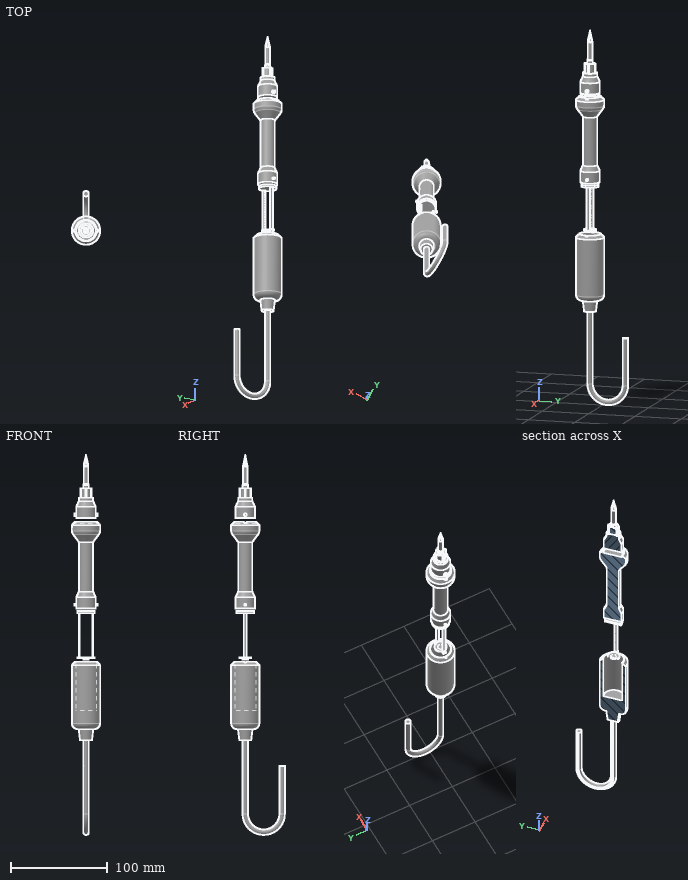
import cadquery as cq


NEEDLE_TOP = 393.3
HUB_COLLAR_TOP = 363.0
HUB_TOP = 358.5
CONNECTOR_TOP = 349.0
CONNECTOR_BOTTOM = 327.5
BARREL_TOP = 324.0
BARREL_BOTTOM = 234.0
CAGE_TOP = 231.5
CAGE_BOTTOM = 181.5
HOUSING_TOP = 179.5
HOUSING_BASE = 109.5
NECK_BOTTOM = 98.0

NEEDLE_DIAMETER = 5.0
POINT_LENGTH = 12.5
FACET_COUNT = 6

HUB_DIAMETER = 10.2
HUB_COLLAR_DIAMETER = 6.0
HUB_COLLAR_TAPER_LENGTH = 1.0
RIB_SPAN = 12.0
RIB_WIDTH = 1.0
RIB_COUNT = 4

TUBE_DIAMETER = 15.0
PLUG_DIAMETER = 20.5
PLUG_LENGTH = 11.8
PLUG_TAPER_LENGTH = 6.0
PIN_SPAN = 24.8
CONNECTOR_PIN_DIAMETER = 3.0
CONNECTOR_PIN_HEIGHT = 3.5
BARREL_PIN_DIAMETER = 2.0
BARREL_PIN_HEIGHT = 4.0

BODY_DIAMETER = 29.5
RIM_CHAMFER = 3.5
SOCKET_DIAMETER = 21.2

HEAD_STRAIGHT_LENGTH = 11.5
HEAD_LENGTH = 21.2
HEAD_ROUNDING = 6.0
BARREL_SOCKET_DEPTH = 2.0

CAGE_DIAMETER = 18.5
CAGE_DISC_THICKNESS = 2.5
CAGE_PLATE_THICKNESS = 1.0
CAGE_PLATE_DIAMETER = 12.5
FOOT_THICKNESS = 0.8
STRIP_SPAN = 15.5
STRIP_THICKNESS = 1.0
STRIP_WIDTH = 3.5
STUB_DIAMETER = 6.0
STUB_LENGTH = 1.5

HOUSING_ROUNDING = 6.3
NECK_DIAMETER = 12.5
NECK_ROOT_DIAMETER = 15.5
HOUSING_SOCKET_DEPTH = CAGE_TOP - CAGE_BOTTOM

CABLE_DIAMETER = 6.0
ASSEMBLY_DEPTH = 56.0
CABLE_END_Z = 71.5
CABLE_OFFSET = ASSEMBLY_DEPTH - BODY_DIAMETER / 2 - CABLE_DIAMETER / 2
BEND_RADIUS = CABLE_OFFSET / 2
BEND_CENTER_Z = BEND_RADIUS + CABLE_DIAMETER / 2


def cylinder(diameter, bottom, top):
    """Round bar on the assembly axis between two levels."""
    return cq.Workplane("XY").workplane(offset=bottom).circle(diameter / 2).extrude(top - bottom)


def cross_pin(diameter, z):
    """Round bar along X, centred on the assembly axis."""
    return cq.Workplane("YZ").center(0, z).circle(diameter / 2).extrude(PIN_SPAN / 2, both=True)


def plug_end(bottom, pin_diameter, pin_height):
    """Wide plug with a taper down to the tube diameter and a bayonet pin on each side."""
    shoulder = bottom + PLUG_LENGTH
    plug = cylinder(PLUG_DIAMETER, bottom, shoulder)
    taper = (
        cq.Workplane("XY").workplane(offset=shoulder).circle(PLUG_DIAMETER / 2)
        .workplane(offset=PLUG_TAPER_LENGTH).circle(TUBE_DIAMETER / 2).loft(ruled=True)
    )
    return plug.union(taper).union(cross_pin(pin_diameter, bottom + pin_height))


def cut_socket(body, top, depth, groove_diameter):
    """Blind bore from the rim of a body, with a half-round groove across the rim for the bayonet pins."""
    bore = cylinder(SOCKET_DIAMETER, top - depth, top)
    groove = (
        cq.Workplane("YZ").center(0, top).circle(groove_diameter / 2)
        .extrude(BODY_DIAMETER / 2, both=True)
    )
    return body.cut(bore).cut(groove)


def make_needle():
    """Round needle, ground to a point by facets, one of them facing -Y."""
    needle = cylinder(NEEDLE_DIAMETER, HUB_COLLAR_TOP, NEEDLE_TOP)
    radius = NEEDLE_DIAMETER / 2
    ground_off = (
        cq.Workplane("YZ")
        .polyline([(0, NEEDLE_TOP), (-radius, NEEDLE_TOP - POINT_LENGTH), (-radius, NEEDLE_TOP)]).close()
        .extrude(NEEDLE_DIAMETER, both=True)
    )
    for index in range(FACET_COUNT):
        needle = needle.cut(ground_off.rotate((0, 0, 0), (0, 0, 1), index * 360 / FACET_COUNT))
    return needle


def make_hub():
    """Hub with a small collar under the needle and ribs spaced around its core."""
    hub = cylinder(HUB_DIAMETER, CONNECTOR_TOP, HUB_TOP)
    collar = cylinder(HUB_COLLAR_DIAMETER, HUB_TOP, HUB_COLLAR_TOP)
    collar_step = (HUB_COLLAR_DIAMETER - NEEDLE_DIAMETER) / 2
    collar = collar.faces(">Z").chamfer(HUB_COLLAR_TAPER_LENGTH, collar_step)
    hub = hub.union(collar)
    rib_length = HUB_TOP - CONNECTOR_TOP
    rib = cq.Workplane("XY").box(RIB_SPAN / 2, RIB_WIDTH, rib_length, centered=(False, True, False))
    rib = rib.translate((0, 0, CONNECTOR_TOP))
    for index in range(RIB_COUNT):
        hub = hub.union(rib.rotate((0, 0, 0), (0, 0, 1), index * 360 / RIB_COUNT))
    return hub


def make_connector():
    """Plug that fits the barrel socket, with a short tube carrying the hub."""
    plug = plug_end(CONNECTOR_BOTTOM, CONNECTOR_PIN_DIAMETER, CONNECTOR_PIN_HEIGHT)
    tube_bottom = CONNECTOR_BOTTOM + PLUG_LENGTH + PLUG_TAPER_LENGTH
    return plug.union(cylinder(TUBE_DIAMETER, tube_bottom, CONNECTOR_TOP))


def make_barrel():
    """Tube with a socketed head at the top and a plug at the bottom."""
    head_straight_end = BARREL_TOP - HEAD_STRAIGHT_LENGTH
    head_bottom = BARREL_TOP - HEAD_LENGTH
    head = (
        cq.Workplane("XZ")
        .polyline([
            (0, BARREL_TOP),
            (BODY_DIAMETER / 2 - RIM_CHAMFER, BARREL_TOP),
            (BODY_DIAMETER / 2, BARREL_TOP - RIM_CHAMFER),
            (BODY_DIAMETER / 2, head_straight_end),
            (TUBE_DIAMETER / 2, head_bottom),
            (0, head_bottom),
        ]).close()
        .revolve(360, (0, 0, 0), (0, 1, 0))
    )
    rounded_edge = cq.selectors.BoxSelector(
        (-BODY_DIAMETER, -BODY_DIAMETER, head_straight_end - RIM_CHAMFER),
        (BODY_DIAMETER, BODY_DIAMETER, head_straight_end + RIM_CHAMFER),
    )
    head = head.edges("%CIRCLE").edges(rounded_edge).fillet(HEAD_ROUNDING)
    tube_bottom = BARREL_BOTTOM + PLUG_LENGTH + PLUG_TAPER_LENGTH
    tube = cylinder(TUBE_DIAMETER, tube_bottom, head_bottom)
    plug = plug_end(BARREL_BOTTOM, BARREL_PIN_DIAMETER, BARREL_PIN_HEIGHT)
    barrel = head.union(tube).union(plug)
    return cut_socket(barrel, BARREL_TOP, BARREL_SOCKET_DEPTH, CONNECTOR_PIN_DIAMETER)


def make_cage():
    """Disc joined by two strips with outward feet to a smaller plate, which has a stub under it."""
    disc_bottom = CAGE_TOP - CAGE_DISC_THICKNESS
    plate_bottom = CAGE_BOTTOM + STUB_LENGTH
    plate_top = plate_bottom + CAGE_PLATE_THICKNESS
    disc = cylinder(CAGE_DIAMETER, disc_bottom, CAGE_TOP)
    plate = cylinder(CAGE_PLATE_DIAMETER, plate_bottom, plate_top)
    foot_top = plate_bottom + FOOT_THICKNESS
    feet = (
        cq.Workplane("XY").workplane(offset=plate_bottom)
        .rect(CAGE_DIAMETER, STRIP_WIDTH).extrude(FOOT_THICKNESS)
    )
    strip_offset = (STRIP_SPAN - STRIP_THICKNESS) / 2
    strips = (
        cq.Workplane("XY").workplane(offset=foot_top)
        .pushPoints([(-strip_offset, 0), (strip_offset, 0)])
        .rect(STRIP_THICKNESS, STRIP_WIDTH).extrude(disc_bottom - foot_top)
    )
    stub = cylinder(STUB_DIAMETER, CAGE_BOTTOM, plate_bottom)
    return disc.union(strips).union(feet).union(plate).union(stub)


def make_housing():
    """Socketed round body with a rounded base and a tapered neck for the cable."""
    shell = cylinder(BODY_DIAMETER, HOUSING_BASE, HOUSING_TOP)
    shell = shell.faces(">Z").chamfer(RIM_CHAMFER).faces("<Z").edges().fillet(HOUSING_ROUNDING)
    neck = (
        cq.Workplane("XY").workplane(offset=NECK_BOTTOM).circle(NECK_DIAMETER / 2)
        .workplane(offset=HOUSING_BASE - NECK_BOTTOM).circle(NECK_ROOT_DIAMETER / 2).loft(ruled=True)
    )
    shell = shell.union(neck)
    return cut_socket(shell, HOUSING_TOP, HOUSING_SOCKET_DEPTH, BARREL_PIN_DIAMETER)


def make_cable():
    """Cable hanging from the neck, turned back upward on the +Y side."""
    path = (
        cq.Workplane("YZ")
        .moveTo(0, NECK_BOTTOM)
        .lineTo(0, BEND_CENTER_Z)
        .threePointArc((BEND_RADIUS, BEND_CENTER_Z - BEND_RADIUS), (CABLE_OFFSET, BEND_CENTER_Z))
        .lineTo(CABLE_OFFSET, CABLE_END_Z)
    )
    return cq.Workplane("XY").workplane(offset=NECK_BOTTOM).circle(CABLE_DIAMETER / 2).sweep(path)


needle = make_needle()
hub = make_hub()
connector = make_connector()
barrel = make_barrel()
cage = make_cage()
housing = make_housing()
cable = make_cable()

result = cq.Compound.makeCompound([
    needle.val(),
    hub.val(),
    connector.val(),
    barrel.val(),
    cage.val(),
    housing.val(),
    cable.val(),
])